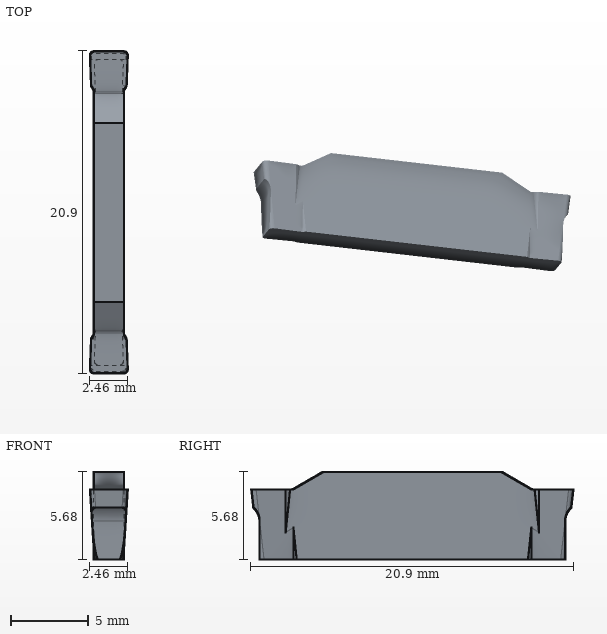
import math

import cadquery as cq


overall_length = 20.87
overall_height = 5.68
cutting_width = 2.46

blade_width = 1.98
crown_length = 11.6
crown_slope = 30
ramp_foot_radius = 0.25

rake_height = 4.56
shoulder_depth = 2.23
pocket_depth = 2.73
core_width = 1.6
core_overlap = 0.2
back_taper = 2.2
side_relief = 3.4
front_relief = 6.5
neck_angle = 30
corner_radius = 0.3

heel_depth = 0.53
heel_height = 2.5
heel_blend_top = 3.37

cutter_margin = 1.0

edge_y = -overall_length / 2
back_slope = math.tan(math.radians(back_taper))
neck_slope = math.tan(math.radians(neck_angle))

corner_tangent_depth = corner_radius / math.tan(math.radians((90 - back_taper) / 2))
sharp_half_width = cutting_width / 2 + corner_tangent_depth * back_slope


def flank_half_width(depth, z):
    """Half width between the flank planes at a depth behind the cutting edge and a height."""
    relief = (rake_height - z) * math.tan(math.radians(side_relief))
    return sharp_half_width - depth * back_slope - relief


def front_face_depth(z):
    """Depth of the front relief face behind the cutting edge at a height."""
    return (rake_height - z) * math.tan(math.radians(front_relief))


def loft_between_levels(outline_at):
    """Solid between the outlines that outline_at gives at the base and at the rake face."""
    base = cq.Workplane("XY").polyline(outline_at(0)).close()
    return base.workplane(offset=rake_height).polyline(outline_at(rake_height)).close().loft(ruled=True)


def head_outline(z):
    """Head cross-section: tapered flanks, then necking walls that end inside the blade."""
    front = front_face_depth(z)
    shoulder = flank_half_width(shoulder_depth, z)
    core = core_width / 2
    neck_end = shoulder_depth + (shoulder - core) / neck_slope
    right_side = [
        (flank_half_width(front, z), edge_y + front),
        (shoulder, edge_y + shoulder_depth),
        (core, edge_y + neck_end),
    ]
    left_side = [(-x, y) for x, y in reversed(right_side)]
    return right_side + left_side


def pocket_outline(z):
    """Space outside the +X flank, closed at the back by a wall running outward."""
    outer = cutting_width / 2 + cutter_margin
    inner = flank_half_width(pocket_depth, z)
    wall_end = pocket_depth + (outer - inner) / neck_slope
    return [
        (flank_half_width(0, z), edge_y),
        (inner, edge_y + pocket_depth),
        (outer, edge_y + wall_end),
        (outer, edge_y),
    ]


def make_blade():
    """Flat blade with a raised crown and a ramp down to each rake face."""
    half_length = overall_length / 2 - shoulder_depth + core_overlap
    half_crown = crown_length / 2
    half_foot = half_crown + (overall_height - rake_height) / math.tan(math.radians(crown_slope))
    profile = [
        (-half_length, 0),
        (half_length, 0),
        (half_length, rake_height),
        (half_foot, rake_height),
        (half_crown, overall_height),
        (-half_crown, overall_height),
        (-half_foot, rake_height),
        (-half_length, rake_height),
    ]
    blade = cq.Workplane("YZ").polyline(profile).close().extrude(blade_width / 2, both=True)
    for y in (-half_foot, half_foot):
        foot_edge = cq.selectors.NearestToPointSelector((0, y, rake_height))
        blade = blade.edges(foot_edge).fillet(ramp_foot_radius)
    return blade


def make_heel_cutter():
    """Space in front of the vertical heel face and its concave blend."""
    outer_y = edge_y - cutter_margin
    heel_y = edge_y + heel_depth
    blend_top_y = edge_y + front_face_depth(heel_blend_top)
    profile = (
        cq.Workplane("YZ")
        .moveTo(outer_y, -cutter_margin)
        .lineTo(heel_y, -cutter_margin)
        .lineTo(heel_y, heel_height)
        .tangentArcPoint((blend_top_y, heel_blend_top), relative=False)
        .lineTo(outer_y, heel_blend_top)
        .close()
    )
    return profile.extrude(cutting_width, both=True)


def make_head():
    """Cutting head at the -Y end."""
    head = loft_between_levels(head_outline)
    front_corners = head.faces("<Y").edges("not |X")
    head = front_corners.fillet(corner_radius)
    return head.cut(make_heel_cutter())


def both_ends(solid):
    """The solid and its half-turn copy at the other end of the blade."""
    return [solid, solid.rotate((0, 0, 0), (0, 0, 1), 180)]


result = make_blade()
side_pocket = loft_between_levels(pocket_outline)
for pocket in (side_pocket, side_pocket.mirror("YZ")):
    for end_pocket in both_ends(pocket):
        result = result.cut(end_pocket)
for end_head in both_ends(make_head()):
    result = result.union(end_head)